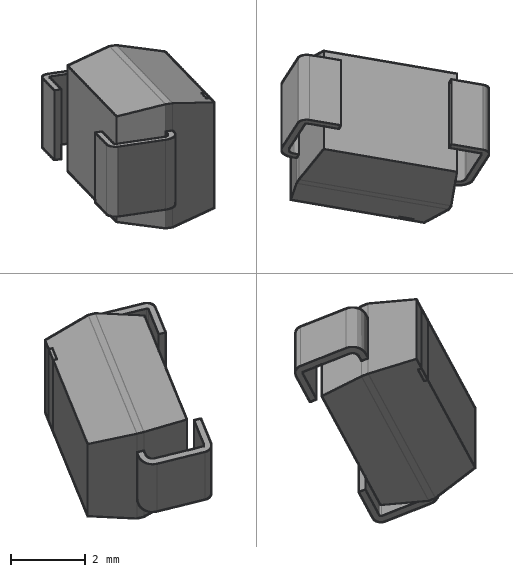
import cadquery as cq

length = 5.4
depth = 3.3
height = 3.62

housing_length = 4.315
belt_width = 0.2
taper_depth = 1.3
taper_inset = 0.27
housing_depth = 2 * taper_depth + belt_width

strip = 0.2
lead_height = 2.035
foot_length = 1.14
shoulder_radius = 0.4
foot_radius = 0.25

bar_width = 0.4
bar_offset = 1.36
bar_depth = 0.1

back_y = depth / 2
front_y = -depth / 2
belt_back_y = back_y - taper_depth
belt_front_y = belt_back_y - belt_width
face_length = housing_length - 2 * taper_inset
face_height = height - 2 * taper_inset


def make_tapered_half(belt_y, face_y):
    """Loft from the full belt outline to the smaller end face."""
    return (
        cq.Workplane("XZ", origin=(0, belt_y, 0))
        .rect(housing_length, height)
        .workplane(offset=belt_y - face_y)
        .rect(face_length, face_height)
        .loft(ruled=True)
    )


def make_polarity_bar():
    """Flat bar, flush with the back face and as tall as that face."""
    return cq.Workplane("XY").box(bar_width, bar_depth, face_height).translate(
        (bar_offset, back_y - bar_depth / 2, 0)
    )


def make_housing(bar):
    """Belt and both tapered halves, with a recess for the polarity bar."""
    belt = (
        cq.Workplane("XZ", origin=(0, belt_back_y, 0))
        .rect(housing_length, height)
        .extrude(belt_width)
    )
    back_half = make_tapered_half(belt_back_y, back_y)
    front_half = make_tapered_half(belt_front_y, back_y - housing_depth)
    return belt.union(back_half).union(front_half).cut(bar)


def make_lead(side):
    """C-shaped strip from the belt to the foot; side is -1 (left) or 1 (right)."""
    outer_x = side * length / 2
    inner_x = outer_x - side * strip
    belt_x = side * housing_length / 2
    foot_x = outer_x - side * foot_length
    shoulder_x = outer_x - side * shoulder_radius
    shoulder_y = belt_back_y - shoulder_radius
    foot_bend_x = outer_x - side * foot_radius
    foot_bend_y = front_y + foot_radius
    shoulder_inner_radius = shoulder_radius - strip
    foot_inner_radius = foot_radius - strip
    return (
        cq.Workplane("XY", origin=(0, 0, -lead_height / 2))
        .moveTo(belt_x, belt_back_y)
        .lineTo(shoulder_x, belt_back_y)
        .radiusArc((outer_x, shoulder_y), side * shoulder_radius)
        .lineTo(outer_x, foot_bend_y)
        .radiusArc((foot_bend_x, front_y), side * foot_radius)
        .lineTo(foot_x, front_y)
        .lineTo(foot_x, front_y + strip)
        .lineTo(foot_bend_x, front_y + strip)
        .radiusArc((inner_x, foot_bend_y), -side * foot_inner_radius)
        .lineTo(inner_x, shoulder_y)
        .radiusArc((shoulder_x, belt_front_y), -side * shoulder_inner_radius)
        .lineTo(belt_x, belt_front_y)
        .close()
        .extrude(lead_height)
    )


polarity_bar = make_polarity_bar()
housing = make_housing(polarity_bar)
leads = [make_lead(side) for side in (-1, 1)]

result = cq.Compound.makeCompound(
    [housing.val(), polarity_bar.val(), *[lead.val() for lead in leads]]
)